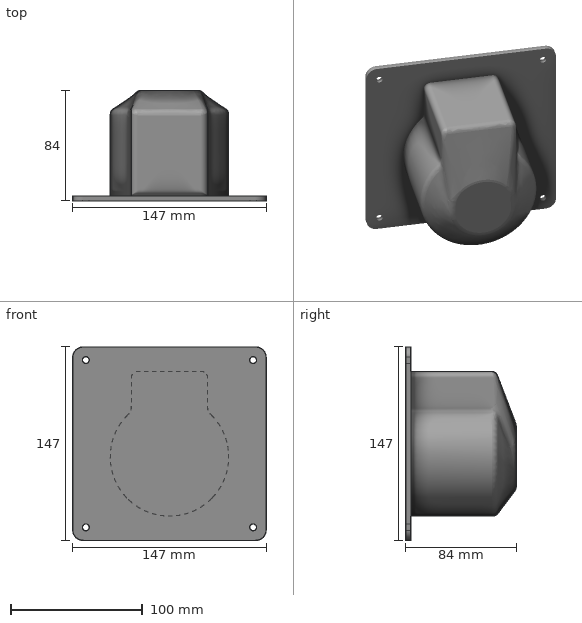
import cadquery as cq
import math

PLATE_SIZE = 147.0
PLATE_THICKNESS = 4.0
PLATE_CORNER_RADIUS = 8.0
HOLE_DIAMETER = 5.0
HOLE_SPACING = 127.0

BARREL_RADIUS = 45.0
BARREL_CENTER_Z = -10.0
TAB_HALF_WIDTH = 29.0
TAB_TOP_Z = 55.0
SHOULDER_Y = 68.5
EDGE_RADIUS = 5.0
EDGE_MARGIN = 1.0

TIP_Y = 84.0
TIP_RADIUS = 24.5
TAB_CORNER_TIP_ANGLE = 43.0
TAB_ROOT_TIP_ANGLE = -2.0

TAB_ROOT_Z = BARREL_CENTER_Z + math.sqrt(BARREL_RADIUS**2 - TAB_HALF_WIDTH**2)


def make_plate():
    """Square plate with rounded corners and a screw hole near each corner."""
    plate = cq.Workplane("XZ").rect(PLATE_SIZE, PLATE_SIZE).extrude(-PLATE_THICKNESS)
    plate = plate.edges("|Y").fillet(PLATE_CORNER_RADIUS)
    holes = (
        cq.Workplane("XZ")
        .rect(HOLE_SPACING, HOLE_SPACING, forConstruction=True)
        .vertices()
        .circle(HOLE_DIAMETER / 2)
        .extrude(-PLATE_THICKNESS)
    )
    return plate.cut(holes)


def keyhole_wire(y):
    """Sharp-cornered housing outline at the given Y, starting at the tab's top right corner."""
    sketch = cq.Workplane("XZ", origin=(0, y, 0))
    return (
        sketch.moveTo(TAB_HALF_WIDTH, TAB_TOP_Z)
        .lineTo(TAB_HALF_WIDTH, TAB_ROOT_Z)
        .threePointArc((0, BARREL_CENTER_Z - BARREL_RADIUS), (-TAB_HALF_WIDTH, TAB_ROOT_Z))
        .lineTo(-TAB_HALF_WIDTH, TAB_TOP_Z)
        .close()
        .val()
    )


def tip_point(angle_deg):
    """Point on the tip circle, as (X, Z), at an angle above the +X direction."""
    angle = math.radians(angle_deg)
    return (TIP_RADIUS * math.cos(angle), BARREL_CENTER_Z + TIP_RADIUS * math.sin(angle))


def tip_wire():
    """Tip circle, split into four arcs that match the four sides of the keyhole."""
    mid_side_angle = (TAB_CORNER_TIP_ANGLE + TAB_ROOT_TIP_ANGLE) / 2
    corner = TAB_CORNER_TIP_ANGLE
    root = TAB_ROOT_TIP_ANGLE
    sketch = cq.Workplane("XZ", origin=(0, TIP_Y, 0))
    return (
        sketch.moveTo(*tip_point(corner))
        .threePointArc(tip_point(mid_side_angle), tip_point(root))
        .threePointArc(tip_point(-90), tip_point(180 - root))
        .threePointArc(tip_point(180 - mid_side_angle), tip_point(180 - corner))
        .threePointArc(tip_point(90), tip_point(corner))
        .wire()
        .val()
    )


def make_housing():
    """Keyhole barrel and tapered nose with rounded edges."""
    barrel_base = cq.Face.makeFromWires(keyhole_wire(PLATE_THICKNESS))
    barrel = cq.Solid.extrudeLinear(barrel_base, cq.Vector(0, SHOULDER_Y - PLATE_THICKNESS, 0))
    nose = cq.Solid.makeLoft([keyhole_wire(SHOULDER_Y), tip_wire()], True)
    housing = cq.Workplane(barrel).union(cq.Workplane(nose))

    behind_plate = cq.selectors.BoxSelector(
        (-PLATE_SIZE, PLATE_THICKNESS + EDGE_MARGIN, -PLATE_SIZE),
        (PLATE_SIZE, TIP_Y + EDGE_MARGIN, PLATE_SIZE),
    )
    return housing.edges(behind_plate).fillet(EDGE_RADIUS)


result = make_plate().union(make_housing())